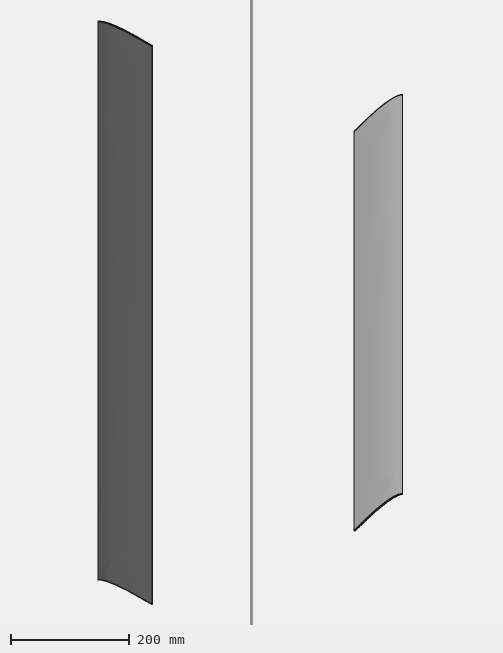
import math

import cadquery as cq

chord = 107.37
rise = 18.36
height = 1393.81

thickness = 2.0

nose_angle = 41.0
tail_angle = 2.2

nose_handle_ratio = 0.22
tail_handle_ratio = 0.27


def point_along(start, angle, distance):
    """Point at a signed distance from start, in the direction of angle."""
    direction = math.radians(angle)
    return (
        start[0] + distance * math.cos(direction),
        start[1] + distance * math.sin(direction),
    )


def inner_corner(outer_corner, angle):
    """Point one thickness under an outer corner, square to the section's slope there."""
    return point_along(outer_corner, angle - 90, thickness)


def end_curvature(end, handle_point, far_handle_point):
    """Curvature of a cubic Bezier curve at one of its ends."""
    ax = handle_point[0] - end[0]
    ay = handle_point[1] - end[1]
    bx = far_handle_point[0] - handle_point[0]
    by = far_handle_point[1] - handle_point[1]
    return 2 / 3 * abs(ax * by - ay * bx) / math.hypot(ax, ay) ** 3


def face_curve(nose, tail, nose_handle, tail_handle):
    """Four Bezier control points of a cambered face, from nose to tail."""
    return [
        nose,
        point_along(nose, nose_angle, nose_handle),
        point_along(tail, tail_angle, -tail_handle),
        tail,
    ]


def vane_section():
    """Cambered strip of even thickness with square-cut ends, steepest at the nose."""
    outer_nose = (-chord / 2, -rise / 2 + thickness * math.cos(math.radians(nose_angle)))
    outer_tail = (chord / 2 - thickness * math.sin(math.radians(tail_angle)), rise / 2)
    span = math.dist(outer_nose, outer_tail)
    nose_handle = nose_handle_ratio * span
    tail_handle = tail_handle_ratio * span
    outer = face_curve(outer_nose, outer_tail, nose_handle, tail_handle)

    nose_shrink = 1 - thickness * end_curvature(*outer[:3])
    tail_shrink = 1 - thickness * end_curvature(*outer[:0:-1])
    inner = face_curve(
        inner_corner(outer_nose, nose_angle),
        inner_corner(outer_tail, tail_angle),
        nose_handle * nose_shrink,
        tail_handle * tail_shrink,
    )
    return (
        cq.Workplane("XY", origin=(0, 0, -height / 2))
        .moveTo(*outer[0])
        .bezier(outer)
        .lineTo(*inner[-1])
        .bezier(inner[::-1])
        .close()
    )


result = vane_section().extrude(height)